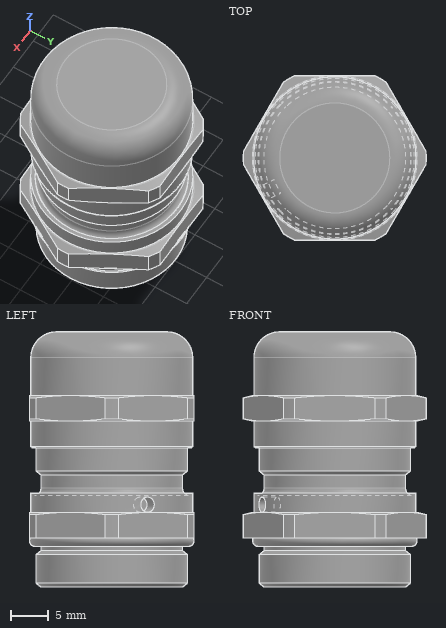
import cadquery as cq
import math

total_height = 34.18
cap_radius = 21.7 / 2
thread_radius = 20.3 / 2
neck_radius = 18.97 / 2
ring_radius = 22.05 / 2

hex_across_flats = 22.05
hex_corner_radius = 24.5 / 2
hex_bevel_height = 0.3

thread_bevel = 0.55
lower_thread_top = 4.35
lower_neck_bottom = lower_thread_top + thread_bevel
ring_bottom = 5.45
ring_section_radius = 0.8
lower_hex_bottom = 6.55
lower_hex_top = 10.0
collar_top = 12.58
upper_neck_bottom = 13.25
upper_neck_top = 15.0
upper_thread_bottom = upper_neck_top + thread_bevel
cap_bottom = 18.63
cap_bevel = 0.2
upper_hex_bottom = 22.2
upper_hex_top = 25.65
cap_rounding = 3.5

groove_arc_radius = 1.05
rim_inner_radius = 10.25

hole_diameter = 2.0
hole_level = 11.05
hole_angle = 180 + 26.3
hole_depth = 2.25


def make_body():
    """Revolve the stepped outline of the body about the Z axis."""
    arc_center_radius = neck_radius + groove_arc_radius

    def groove_level(radius):
        offset = radius - arc_center_radius
        return upper_neck_bottom - math.sqrt(groove_arc_radius**2 - offset**2)

    groove_middle_radius = (neck_radius + rim_inner_radius) / 2
    ring_center_radius = ring_radius - ring_section_radius
    ring_center_level = ring_bottom + ring_section_radius
    ring_sunk_height = lower_hex_bottom - ring_center_level
    ring_top_offset = math.sqrt(ring_section_radius**2 - ring_sunk_height**2)
    ring_shift = ring_section_radius * math.sqrt(0.5)
    ring_arc_middle = (ring_center_radius + ring_shift, ring_center_level - ring_shift)
    ring_arc_end = (ring_center_radius + ring_top_offset, lower_hex_bottom)
    cap_flat_radius = cap_radius - cap_rounding
    cap_shift = cap_rounding * math.sqrt(0.5)
    cap_arc_middle = (cap_flat_radius + cap_shift, total_height - cap_rounding + cap_shift)
    outline = (
        cq.Workplane("XZ")
        .lineTo(neck_radius, 0)
        .lineTo(thread_radius, thread_bevel)
        .lineTo(thread_radius, lower_thread_top)
        .lineTo(neck_radius, lower_neck_bottom)
        .lineTo(neck_radius, ring_bottom)
        .lineTo(ring_center_radius, ring_bottom)
        .threePointArc(ring_arc_middle, ring_arc_end)
        .lineTo(cap_radius, lower_hex_bottom)
        .lineTo(cap_radius, collar_top)
        .lineTo(rim_inner_radius, collar_top)
        .lineTo(rim_inner_radius, groove_level(rim_inner_radius))
        .threePointArc(
            (groove_middle_radius, groove_level(groove_middle_radius)),
            (neck_radius, upper_neck_bottom),
        )
        .lineTo(neck_radius, upper_neck_top)
        .lineTo(thread_radius, upper_thread_bottom)
        .lineTo(thread_radius, cap_bottom)
        .lineTo(cap_radius - cap_bevel, cap_bottom)
        .lineTo(cap_radius, cap_bottom + cap_bevel)
        .lineTo(cap_radius, total_height - cap_rounding)
        .threePointArc(cap_arc_middle, (cap_flat_radius, total_height))
        .lineTo(0, total_height)
        .close()
    )
    return outline.revolve(360, (0, 0, 0), (0, 1, 0))


def make_hex(bottom, top, bevel_bottom):
    """Hexagon with corners along X, trimmed by a cylinder with conical ends."""
    hex_point_diameter = hex_across_flats / math.cos(math.radians(30))
    prism = (
        cq.Workplane("XY", origin=(0, 0, bottom))
        .polygon(6, hex_point_diameter)
        .extrude(top - bottom)
    )
    bevel_width = hex_corner_radius - hex_across_flats / 2
    trim = cq.Workplane("XY", origin=(0, 0, bottom)).circle(hex_corner_radius).extrude(top - bottom)
    trim = trim.faces(">Z").chamfer(hex_bevel_height, bevel_width)
    if bevel_bottom:
        trim = trim.faces("<Z").chamfer(hex_bevel_height, bevel_width)
    return prism.intersect(trim)


def make_collar_hole():
    """Blind cylinder running from outside the collar towards the axis."""
    angle = math.radians(hole_angle)
    outward = cq.Vector(math.cos(angle), math.sin(angle), 0)
    floor = outward * (cap_radius - hole_depth) + cq.Vector(0, 0, hole_level)
    length = 2 * hole_depth
    return cq.Workplane(cq.Solid.makeCylinder(hole_diameter / 2, length, floor, outward))


upper_hex = make_hex(upper_hex_bottom, upper_hex_top, bevel_bottom=True)
lower_hex = make_hex(lower_hex_bottom, lower_hex_top, bevel_bottom=False)
collared_body = make_body().cut(make_collar_hole())
result = collared_body.union(upper_hex).union(lower_hex)